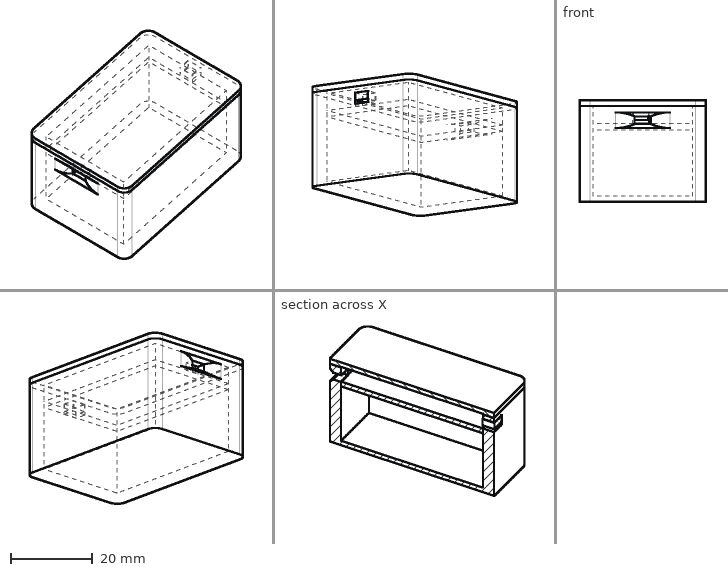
import math

import cadquery as cq

width = 31.0
length = 46.55
height = 25.0
corner_radius = 2.5
lid_thickness = 1.5
housing_height = height - lid_thickness

wall = 3.25
floor_thickness = 1.5
cavity_width = width - 2 * wall
cavity_length = length - 2 * wall
front_face = -length / 2
rear_wall_inner_face = length / 2 - wall

port_width = 4.0
port_height = 1.9
port_center_z = 20.05
mouth_depth = 1.0
mouth_side_radius = 12.0
mouth_angle = math.acos(1 - mouth_depth / mouth_side_radius)
mouth_half_width = port_width / 2 + mouth_side_radius * math.sin(mouth_angle)

board_thickness = 1.6
board_rise = 0.15
board_top = port_center_z - port_height / 2 + board_rise

window_width = 4.0
window_right = 1.55
window_top = 21.95
window_center_x = window_right - window_width / 2
plug_gap = 0.2
plug_width = window_width - 2 * plug_gap
plug_bottom = port_center_z


def rounded_block(bottom, block_height):
    """Block with the outer footprint and rounded vertical corners."""
    return (
        cq.Workplane("XY", origin=(0, 0, bottom))
        .rect(width, length)
        .extrude(block_height)
        .edges("|Z")
        .fillet(corner_radius)
    )


def cavity_block(bottom, top):
    """Block that fills the inside of the housing from wall to wall."""
    return cq.Workplane("XY", origin=(0, 0, bottom)).rect(cavity_width, cavity_length).extrude(top - bottom)


def rear_wall_block(block_width, bottom, top):
    """Block centred on the rear window and as deep as the rear wall."""
    return (
        cq.Workplane("XY")
        .box(block_width, wall, top - bottom, centered=(True, False, False))
        .translate((window_center_x, rear_wall_inner_face, bottom))
    )


def make_port():
    """Tunnel through the front wall, with convex sides and 45 degree top and bottom at its mouth."""
    tunnel = (
        cq.Workplane("XY")
        .box(port_width, wall, port_height, centered=(True, False, True))
        .translate((0, front_face, port_center_z))
    )

    mouth_back = front_face + mouth_depth
    arc_center_y = front_face + mouth_side_radius
    arc_middle_x = mouth_half_width - mouth_side_radius * math.sin(mouth_angle / 2)
    arc_middle_y = arc_center_y - mouth_side_radius * math.cos(mouth_angle / 2)
    plan = (
        cq.Workplane("XY")
        .moveTo(-mouth_half_width, front_face)
        .threePointArc((-arc_middle_x, arc_middle_y), (-port_width / 2, mouth_back))
        .lineTo(port_width / 2, mouth_back)
        .threePointArc((arc_middle_x, arc_middle_y), (mouth_half_width, front_face))
        .close()
        .extrude(housing_height)
    )

    half_inner = port_height / 2
    half_outer = half_inner + mouth_depth
    profile = (
        cq.Workplane("YZ")
        .polyline(
            [
                (front_face, port_center_z - half_outer),
                (mouth_back, port_center_z - half_inner),
                (mouth_back, port_center_z + half_inner),
                (front_face, port_center_z + half_outer),
            ]
        )
        .close()
        .extrude(mouth_half_width, both=True)
    )
    return tunnel.union(plan.intersect(profile))


def make_housing():
    """Open-topped box with the front port and the rear window."""
    cavity = cavity_block(floor_thickness, housing_height)
    window = rear_wall_block(window_width, board_top, window_top)
    return rounded_block(0, housing_height).cut(cavity).cut(make_port()).cut(window)


def make_lid():
    """Flat cover on top of the housing."""
    return rounded_block(housing_height, lid_thickness)


def make_board():
    """Flat board held between the walls of the housing."""
    return cavity_block(board_top - board_thickness, board_top)


def make_plug():
    """Block that hangs from the top of the rear window down to the middle height of the port."""
    return rear_wall_block(plug_width, plug_bottom, window_top)


housing = make_housing()
lid = make_lid()
board = make_board()
plug = make_plug()

result = cq.Compound.makeCompound([housing.val(), lid.val(), board.val(), plug.val()])